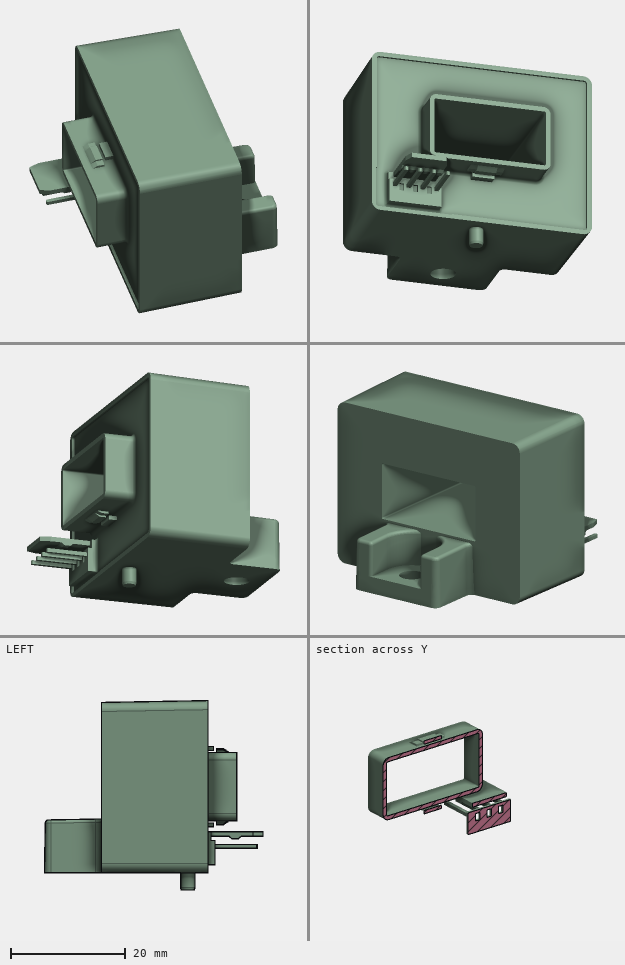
import cadquery as cq
import math


WIDTH, HEIGHT, DEPTH = 40, 30, 18.55
DRAFT = 1
CORNER_RADIUS = 1.6

RECESS_DEPTH = 0.5
WALL_SIDE, WALL_TOP_BOTTOM = 0.95, 0.85
THIN_WALL_SIDE, THIN_WALL_BOTTOM = 0.75, 0.7
THIN_RIGHT, THIN_TOP = -5.45, 8.05
RECESS_RADIUS = 0.4
FOOT_RADIUS = 0.6

WINDOW_Z = HEIGHT / 2
TUBE_WIDTH, TUBE_HEIGHT, TUBE_LENGTH, TUBE_RADIUS = 21.9, 11.9, 5.05, 1.3
WINDOW_WIDTH, WINDOW_HEIGHT, WINDOW_RADIUS = 20.2, 10.2, 0.25

TAB_WIDTH, TAB_REACH, TAB_INNER, TAB_OUTER = 3.9, 0.95, 6.3, 7.0
CLIP_BACK, CLIP_RIDGE, CLIP_TIP = 1.45, 2.7, 3.65
CLIP_WIDTH, CLIP_RISE = 6.1, 0.4
CLIP_ROOT = 0.25
CLIP_CENTRE_WIDTH, CLIP_CENTRE_RISE = 3.55, 0.7

CONNECTOR_LEFT, CONNECTOR_RIGHT = -17.15, -7.7
CONNECTOR_BOTTOM, CONNECTOR_STEP, CONNECTOR_TOP = 1.4, 5.65, 7.2
CONNECTOR_BACK_REACH, CONNECTOR_REACH = 0.5, 1.25
CONNECTOR_CORNER = 0.05
CONNECTOR_X = (CONNECTOR_LEFT + CONNECTOR_RIGHT) / 2

TONGUE_WIDTH, TONGUE_TIP_WIDTH, TONGUE_THICKNESS = 7.55, 6.3, 0.85
TONGUE_REACH, TONGUE_SHOULDER = 9.6, 7.8
BUMP_START, BUMP_END, BUMP_SLOPE, BUMP_HEIGHT = 3.65, 5.8, 0.5, 0.45

PIN_COUNT, PIN_PITCH, PIN_SIZE, PIN_REACH = 4, 2.5, 0.7, 8.6
PIN_TOP = 4.95
PIN_TIP_CHAMFER = 0.15
SLOT_WIDTH, SLOT_HEIGHT, SLOT_DEPTH = 0.85, 1.3, 0.4

BRACKET_WIDTH, BRACKET_END, BRACKET_HEIGHT = 18, 28.5, 9.4
BRACKET_CORNER, BRACKET_FLARE, BRACKET_EDGE = 1.2, 1.0, 0.6
SCREW_HOLE, SCREW_Y = 4.5, 23.5
POCKET_RADIUS, POCKET_FLOOR = 5.2, 3.0

PEG_DIAMETER, PEG_LENGTH, PEG_Y = 2.5, 3.0, 3.5
PEG_TIP_LENGTH, PEG_TIP_INSET = 0.45, 0.1

OVERLAP = 2


def block(x0, x1, y0, y1, z0, z1):
    """Box between two opposite corners."""
    return cq.Workplane("XY").box(x1 - x0, y1 - y0, z1 - z0, centered=False).translate((x0, y0, z0))


def window_block(width, height, radius, y0, y1):
    """Rounded block along Y, centred on the conductor window."""
    bar = block(-width / 2, width / 2, y0, y1, WINDOW_Z - height / 2, WINDOW_Z + height / 2)
    return bar.edges("|Y").fillet(radius)


def fillet_foot(body, x0, x1, z0, z1):
    """Fillet the edges on the recess floor within the given X and Z limits."""
    margin = 0.1
    low = (x0 - margin, RECESS_DEPTH - margin, z0 - margin)
    high = (x1 + margin, RECESS_DEPTH + margin, z1 + margin)
    return body.edges(cq.selectors.BoxSelector(low, high, boundingbox=True)).fillet(FOOT_RADIUS)


def make_housing():
    """Body that narrows towards the back, with a shallow recess in its front."""
    shrink = DEPTH * math.tan(math.radians(DRAFT))
    half_front = WIDTH / 2
    half_back = half_front - shrink
    front = cq.Workplane("XZ").polyline(
        [(-half_front, 0), (half_front, 0), (half_front, HEIGHT), (-half_front, HEIGHT)]
    ).close()
    body = front.workplane(offset=-DEPTH).polyline(
        [(-half_back, 0), (half_back, 0), (half_back, HEIGHT - shrink), (-half_back, HEIGHT - shrink)]
    ).close().loft(ruled=True)
    body = body.edges("not(#Y)").fillet(CORNER_RADIUS)

    inner_x = half_front - WALL_SIDE
    recess = block(-inner_x, inner_x, 0, RECESS_DEPTH, WALL_TOP_BOTTOM, HEIGHT - WALL_TOP_BOTTOM)
    recess = recess.edges("|Y").fillet(RECESS_RADIUS)
    thinning = block(THIN_WALL_SIDE - half_front, THIN_RIGHT, 0, RECESS_DEPTH, THIN_WALL_BOTTOM, THIN_TOP)
    thinning = thinning.edges("|Y and <X and <Z").fillet(RECESS_RADIUS)
    return body.cut(recess).cut(thinning)


def add_tube(body):
    """Tube standing on the recess floor, with a fillet around its foot."""
    tube = window_block(TUBE_WIDTH, TUBE_HEIGHT, TUBE_RADIUS, -TUBE_LENGTH, RECESS_DEPTH + OVERLAP)
    half_width = TUBE_WIDTH / 2
    half_height = TUBE_HEIGHT / 2
    return fillet_foot(
        body.union(tube), -half_width, half_width, WINDOW_Z - half_height, WINDOW_Z + half_height
    )


def make_clip(width, rise):
    """Snap clip on top of the tube, with a ramp towards the free end."""
    base = WINDOW_Z + TUBE_HEIGHT / 2
    top = base + rise
    root = base - CLIP_ROOT
    profile = [
        (-CLIP_BACK, root), (-CLIP_BACK, top), (-CLIP_RIDGE, top), (-CLIP_TIP, base), (-CLIP_TIP, root)
    ]
    return cq.Workplane("YZ").polyline(profile).close().extrude(width / 2, both=True)


def make_catches():
    """Tab and stepped clip above the tube, mirrored below it."""
    tab = block(
        -TAB_WIDTH / 2, TAB_WIDTH / 2, -TAB_REACH, RECESS_DEPTH, WINDOW_Z + TAB_INNER, WINDOW_Z + TAB_OUTER
    )
    clip = make_clip(CLIP_WIDTH, CLIP_RISE).union(make_clip(CLIP_CENTRE_WIDTH, CLIP_CENTRE_RISE))
    upper = clip.union(tab)
    return upper.union(upper.mirror("XY", (0, 0, WINDOW_Z)))


def add_connector_body(body):
    """Stepped connector block with a fillet around its foot."""
    back = block(
        CONNECTOR_LEFT, CONNECTOR_RIGHT, -CONNECTOR_BACK_REACH, RECESS_DEPTH + OVERLAP,
        CONNECTOR_BOTTOM, CONNECTOR_TOP,
    )
    back = back.edges("|Y").fillet(CONNECTOR_CORNER)
    body = fillet_foot(
        body.union(back), CONNECTOR_LEFT, CONNECTOR_RIGHT, CONNECTOR_BOTTOM, CONNECTOR_TOP
    )
    step = block(
        CONNECTOR_LEFT, CONNECTOR_RIGHT, -CONNECTOR_REACH, 0, CONNECTOR_BOTTOM, CONNECTOR_STEP
    )
    step = step.edges("|Y and <Z").fillet(CONNECTOR_CORNER)
    return body.union(step)


def make_tongue():
    """Flat latch tongue with a narrowed tip and a bump on its underside."""
    half = TONGUE_WIDTH / 2
    half_tip = TONGUE_TIP_WIDTH / 2
    outline = [
        (CONNECTOR_X - half, 0), (CONNECTOR_X - half, -TONGUE_SHOULDER),
        (CONNECTOR_X - half_tip, -TONGUE_REACH), (CONNECTOR_X + half_tip, -TONGUE_REACH),
        (CONNECTOR_X + half, -TONGUE_SHOULDER), (CONNECTOR_X + half, 0),
    ]
    underside = CONNECTOR_TOP - TONGUE_THICKNESS
    plate = cq.Workplane("XY", (0, 0, underside)).polyline(outline).close().extrude(TONGUE_THICKNESS)
    bump_profile = [
        (-BUMP_START, CONNECTOR_TOP), (-BUMP_START, underside),
        (-BUMP_START - BUMP_SLOPE, underside - BUMP_HEIGHT),
        (-BUMP_END + BUMP_SLOPE, underside - BUMP_HEIGHT),
        (-BUMP_END, underside), (-BUMP_END, CONNECTOR_TOP),
    ]
    bump = cq.Workplane("YZ", (CONNECTOR_X, 0, 0)).polyline(bump_profile).close()
    return plate.union(bump.extrude(half, both=True))


def place_in_row(item, count):
    """Copies of an item at the pin pitch, centred on the connector."""
    row = cq.Workplane("XY")
    for i in range(count):
        row = row.union(item.translate((CONNECTOR_X + (i - (count - 1) / 2) * PIN_PITCH, 0, 0)))
    return row


def make_pins():
    """Row of square pins with bevelled tips."""
    half = PIN_SIZE / 2
    pin = block(-half, half, -PIN_REACH, 0, PIN_TOP - PIN_SIZE, PIN_TOP)
    pin = pin.faces("<Y").edges("|Z").chamfer(PIN_TIP_CHAMFER)
    return place_in_row(pin, PIN_COUNT)


def make_slots():
    """Shallow slots in the connector face, one between each two pins."""
    half = SLOT_WIDTH / 2
    slot = block(
        -half, half, -CONNECTOR_REACH, SLOT_DEPTH - CONNECTOR_REACH, PIN_TOP - SLOT_HEIGHT, PIN_TOP
    )
    return place_in_row(slot, PIN_COUNT - 1)


def make_bracket():
    """Drafted bracket with a U-shaped screw pocket open to the back."""
    half = BRACKET_WIDTH / 2
    wide = half + BRACKET_FLARE
    root = DEPTH - OVERLAP
    mid_inset = 1 - math.sqrt(0.5)
    corner_mid = mid_inset * BRACKET_CORNER
    flare_mid = mid_inset * BRACKET_FLARE
    outline = (
        cq.Workplane("XY")
        .moveTo(-wide, root)
        .lineTo(-wide, DEPTH)
        .threePointArc((-half - flare_mid, DEPTH + flare_mid), (-half, DEPTH + BRACKET_FLARE))
        .lineTo(-half, BRACKET_END - BRACKET_CORNER)
        .threePointArc(
            (-half + corner_mid, BRACKET_END - corner_mid), (-half + BRACKET_CORNER, BRACKET_END)
        )
        .lineTo(half - BRACKET_CORNER, BRACKET_END)
        .threePointArc(
            (half - corner_mid, BRACKET_END - corner_mid), (half, BRACKET_END - BRACKET_CORNER)
        )
        .lineTo(half, DEPTH + BRACKET_FLARE)
        .threePointArc((half + flare_mid, DEPTH + flare_mid), (wide, DEPTH))
        .lineTo(wide, root)
        .close()
    )
    bracket = outline.extrude(BRACKET_HEIGHT + OVERLAP, taper=DRAFT)

    slope = math.tan(math.radians(DRAFT))
    root_height = BRACKET_HEIGHT + OVERLAP * slope
    end_height = BRACKET_HEIGHT - (BRACKET_END - DEPTH) * slope
    above = BRACKET_HEIGHT + 2 * OVERLAP
    top_cut = [(root, root_height), (BRACKET_END, end_height), (BRACKET_END, above), (root, above)]
    bracket = bracket.cut(cq.Workplane("YZ").polyline(top_cut).close().extrude(WIDTH, both=True))

    pocket = cq.Workplane("XY", (0, SCREW_Y, POCKET_FLOOR)).circle(POCKET_RADIUS).extrude(above)
    pocket = pocket.union(
        block(-POCKET_RADIUS, POCKET_RADIUS, SCREW_Y, BRACKET_END, POCKET_FLOOR, above)
    )
    bracket = bracket.cut(pocket)
    mouth_edges = cq.selectors.BoxSelector(
        (-POCKET_RADIUS - BRACKET_EDGE, SCREW_Y + BRACKET_EDGE, POCKET_FLOOR + BRACKET_EDGE),
        (POCKET_RADIUS + BRACKET_EDGE, BRACKET_END, end_height - BRACKET_EDGE),
    )
    bracket = bracket.edges("not(#Z)").edges(mouth_edges).fillet(BRACKET_EDGE)
    top_edges = cq.selectors.BoxSelector(
        (-wide, root + BRACKET_EDGE, end_height - BRACKET_EDGE), (wide, BRACKET_END, root_height)
    )
    bracket = bracket.edges(top_edges).fillet(BRACKET_EDGE)
    screw_hole = cq.Workplane("XY", (0, SCREW_Y, 0)).circle(SCREW_HOLE / 2).extrude(POCKET_FLOOR)
    return bracket.cut(screw_hole)


def make_peg():
    """Round locating pin with a tapered end."""
    peg = cq.Workplane("XY", (0, PEG_Y, -PEG_LENGTH)).circle(PEG_DIAMETER / 2)
    peg = peg.extrude(PEG_LENGTH + OVERLAP)
    return peg.faces("<Z").chamfer(PEG_TIP_LENGTH, PEG_TIP_INSET)


result = add_tube(make_housing())
result = add_connector_body(result).cut(make_slots())
result = result.union(make_catches()).union(make_tongue()).union(make_pins())
result = result.union(make_bracket()).union(make_peg())
result = result.cut(window_block(WINDOW_WIDTH, WINDOW_HEIGHT, WINDOW_RADIUS, -TUBE_LENGTH, DEPTH))